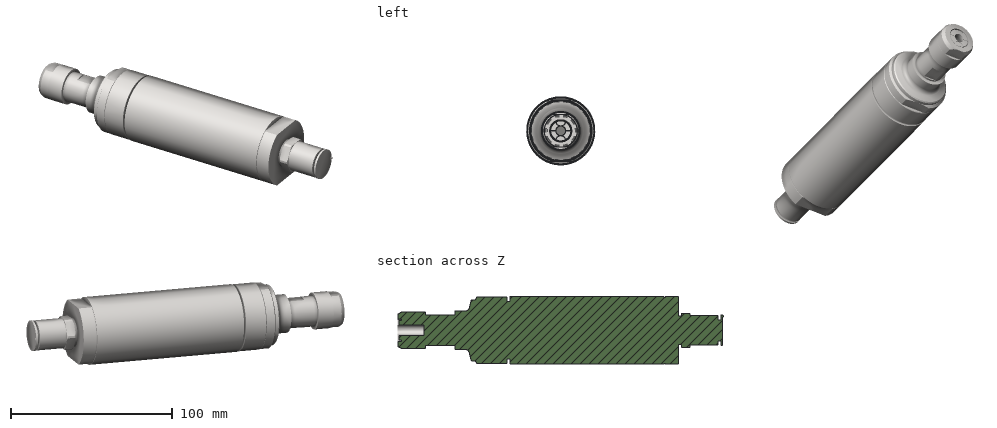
import cadquery as cq
import math

LENGTH = 201.0
BODY_DIA = 42.0

NUT_DIA = 23.0
NUT_FACE_DIA = 20.3
NUT_CHAMFER = 2.2
NUT_FLATS_END = 7.5
NUT_ACROSS_FLATS = 19.9
NUT_FRONT_DIA = 22.7
NUT_END = 17.3
COLLET_DIA = 12.5
COLLET_SEAT_DIA = 13.7
COLLET_GAP_DEPTH = 2.0
COLLET_BORE_DIA = 6.0
COLLET_BORE_DEPTH = 16.0
NOTCH_DEPTH = 0.5
SLIT_WIDTH = 0.2

SPINDLE_DIA = 19.0
SPINDLE_FLATS_START = 24.3
SPINDLE_FLATS_LENGTH = 9.6
SPINDLE_ACROSS_FLATS = 17.3
SPINDLE_END = 35.2

NECK_DIA = 24.0
NECK_END = 41.2
FLARE_DIA = 28.7
FLARE_END = 44.0
LIP_DIA = 38.0
LIP_START = 45.0
LIP_END = 47.8
LIP_CHAMFER = 0.6

RING_DIA = 41.5
RING_FACE_DIA = 38.5
RING_CHAMFER = 0.8
RING_ACROSS_FLATS = 38.0
RING_END = 54.0

SLEEVE_DIA = 41.6
SLEEVE_CHAMFER = 0.5
GROOVE_START = 67.5
GROOVE_WIDTH = 1.5
GROOVE_DIA = 36.0
BODY_END = 164.4
SEAM_WIDTH = 0.6
SEAM_DIA = 41.0
CAP_END = 173.2
CAP_ACROSS_FLATS = 36.0

FITTING_NECK_DIA = 18.0
HEX_START = 174.8
HEX_END = 180.5
HEX_SIDES = 6
HEX_ACROSS_FLATS = 19.0
HEX_CORNER_DIA = 21.3
HEX_CHAMFER = 0.5
FITTING_DIA = 18.7
FLANGE_DIA = 19.0
FITTING_END = 197.8
RELEASE_DIA = 13.3
FLANGE_START = 199.2
FLANGE_END = 200.4
TAB_WIDTH = 1.2
TAB_CENTRE_Y = 8.6
TAB_CENTRE_Z = 0.2


def disc(start, end, diameter):
    """Cylinder around the X axis between two X positions."""
    return cq.Workplane("YZ", origin=(start, 0, 0)).circle(diameter / 2).extrude(end - start)


def two_flats(start, end, across):
    """Two slabs that leave a pair of flats facing +Z and -Z."""
    length = end - start
    slab = cq.Workplane("XY").box(length, 2 * BODY_DIA, BODY_DIA, centered=(False, True, False))
    upper = slab.translate((start, 0, across / 2))
    lower = slab.translate((start, 0, -across / 2 - BODY_DIA))
    return upper.union(lower)


def turned_body():
    """Turned shape from the collet nut to the end cap."""
    flare_mid_x = NECK_END + (FLARE_END - NECK_END) * math.sin(math.pi / 4)
    flare_mid_r = FLARE_DIA / 2 - (FLARE_DIA - NECK_DIA) / 2 * math.cos(math.pi / 4)
    profile = (
        cq.Workplane("XZ")
        .moveTo(0, 0)
        .lineTo(0, NUT_FACE_DIA / 2)
        .lineTo(NUT_CHAMFER, NUT_FRONT_DIA / 2)
        .lineTo(NUT_FLATS_END, NUT_FRONT_DIA / 2)
        .lineTo(NUT_FLATS_END, NUT_DIA / 2)
        .lineTo(NUT_END, NUT_DIA / 2)
        .lineTo(NUT_END, SPINDLE_DIA / 2)
        .lineTo(SPINDLE_END, SPINDLE_DIA / 2)
        .lineTo(SPINDLE_END, NECK_DIA / 2)
        .lineTo(NECK_END, NECK_DIA / 2)
        .threePointArc((flare_mid_x, flare_mid_r), (FLARE_END, FLARE_DIA / 2))
        .lineTo(LIP_START, LIP_DIA / 2 - LIP_CHAMFER)
        .lineTo(LIP_START + LIP_CHAMFER, LIP_DIA / 2)
        .lineTo(LIP_END, LIP_DIA / 2)
        .lineTo(LIP_END, RING_FACE_DIA / 2)
        .lineTo(LIP_END + RING_CHAMFER, RING_DIA / 2)
        .lineTo(RING_END, RING_DIA / 2)
        .lineTo(RING_END, SLEEVE_DIA / 2 - SLEEVE_CHAMFER)
        .lineTo(RING_END + SLEEVE_CHAMFER, SLEEVE_DIA / 2)
        .lineTo(GROOVE_START, SLEEVE_DIA / 2)
        .lineTo(GROOVE_START, GROOVE_DIA / 2)
        .lineTo(GROOVE_START + GROOVE_WIDTH, GROOVE_DIA / 2)
        .lineTo(GROOVE_START + GROOVE_WIDTH, BODY_DIA / 2)
        .lineTo(BODY_END, BODY_DIA / 2)
        .lineTo(BODY_END, SEAM_DIA / 2)
        .lineTo(BODY_END + SEAM_WIDTH, SEAM_DIA / 2)
        .lineTo(BODY_END + SEAM_WIDTH, BODY_DIA / 2)
        .lineTo(CAP_END, BODY_DIA / 2)
        .lineTo(CAP_END, 0)
        .close()
    )
    return profile.revolve(360, (0, 0, 0), (1, 0, 0))


def cut_flats(body):
    """Wrench flats on the nut, spindle, clamping ring and end cap."""
    spindle_flats_end = SPINDLE_FLATS_START + SPINDLE_FLATS_LENGTH
    body = body.cut(two_flats(0, NUT_FLATS_END, NUT_ACROSS_FLATS))
    body = body.cut(two_flats(SPINDLE_FLATS_START, spindle_flats_end, SPINDLE_ACROSS_FLATS))
    body = body.cut(two_flats(LIP_END, RING_END, RING_ACROSS_FLATS))
    return body.cut(two_flats(BODY_END, CAP_END, CAP_ACROSS_FLATS))


def cut_collet(body):
    """Collet face: ring gap, tool bore, two round notches and a slit."""
    collet = disc(0, COLLET_GAP_DEPTH, COLLET_DIA)
    gap = disc(0, COLLET_GAP_DEPTH, COLLET_SEAT_DIA).cut(collet)
    notch = disc(0, NOTCH_DEPTH, COLLET_BORE_DIA)
    slit = cq.Workplane("XY").box(NOTCH_DEPTH, COLLET_DIA, SLIT_WIDTH, centered=(False, True, True))
    for side in (1, -1):
        offset_notch = notch.translate((0, 0, side * COLLET_BORE_DIA))
        body = body.cut(offset_notch.intersect(collet))
    return body.cut(gap).cut(slit).cut(disc(0, COLLET_BORE_DEPTH, COLLET_BORE_DIA))


def air_fitting():
    """Push-in air fitting with a hexagon and a release flange."""
    hexagon = (
        cq.Workplane("YZ", origin=(HEX_START, 0, 0))
        .polygon(HEX_SIDES, HEX_ACROSS_FLATS, circumscribed=True)
        .extrude(HEX_END - HEX_START)
        .rotate((0, 0, 0), (1, 0, 0), 180 / HEX_SIDES)
    )
    hexagon = hexagon.intersect(disc(HEX_START, HEX_END, HEX_CORNER_DIA).edges().chamfer(HEX_CHAMFER))
    tab = (
        cq.Workplane("XY")
        .box(LENGTH - FLANGE_START, TAB_WIDTH, TAB_WIDTH, centered=(False, True, True))
        .translate((FLANGE_START, TAB_CENTRE_Y, TAB_CENTRE_Z))
    )
    return (
        disc(CAP_END, HEX_START, FITTING_NECK_DIA)
        .union(hexagon)
        .union(disc(HEX_END, FITTING_END, FITTING_DIA))
        .union(disc(FITTING_END, FLANGE_START, RELEASE_DIA))
        .union(disc(FLANGE_START, FLANGE_END, FLANGE_DIA))
        .union(tab)
    )


result = cut_collet(cut_flats(turned_body())).union(air_fitting())